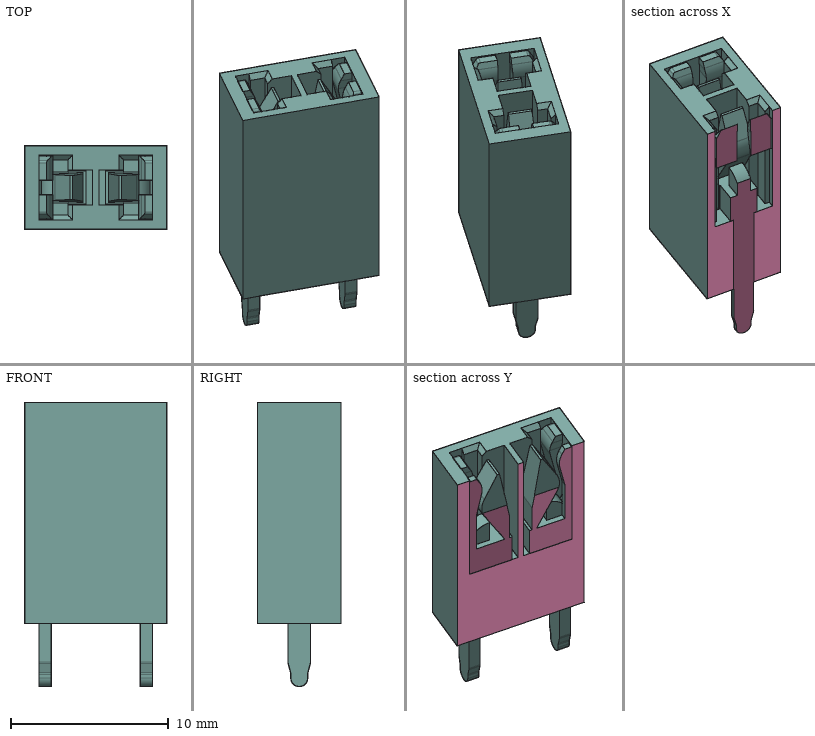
import cadquery as cq
import math


TOTAL_HEIGHT = 18.0
TAIL_LENGTH = 4.0
HOUSING_X = 9.0
HOUSING_Y = 5.3
HOUSING_Z = TOTAL_HEIGHT - TAIL_LENGTH

POLE_ANGLES = (0, 180)

CAVITY_OUTER_X = 3.6
CHAMBER_INNER_X = 2.72
MOUTH_INNER_X = 1.45
MOUTH_HALF_Y = 2.05
MOUTH_BEVEL = 0.3
SLOT_INNER_X = 0.2
SLOT_HALF_Y = 1.1
CAVITY_DEPTH = 8.1
FLOOR_Z = HOUSING_Z - CAVITY_DEPTH

BULGE_RADIUS = 3.0 / 2
LEAD_ANGLE = 29.0
LEAD_RUN = math.tan(math.radians(LEAD_ANGLE))
BULGE_RISE = BULGE_RADIUS * math.sin(math.radians(LEAD_ANGLE))
BULGE_DEPTH = BULGE_RADIUS * (1 - math.cos(math.radians(LEAD_ANGLE)))

BASE_HEIGHT = 1.98
BASE_TOP_Z = FLOOR_Z + BASE_HEIGHT
BASE_INNER_X = 0.61
BASE_STEP_X = MOUTH_INNER_X + MOUTH_BEVEL
BASE_INNER_HALF_Y = 1.05
BASE_OUTER_HALF_Y = 0.97

LEG_TOP_Z = HOUSING_Z - 0.09
LEG_INNER_X = 3.11
LEG_CONTACT_X = CHAMBER_INNER_X
LEG_RELIEF_ANGLE = 12.0
LEG_OUTER_Y = 1.98
LEG_SHOULDER_Y = 1.65
LEG_SHOULDER_RADIUS = 0.2
LEG_GAP_TIP_HALF_Y = 0.45
LEG_GAP_ROOT_HALF_Y = 0.49
LEG_GAP_FLARE_DROP = 0.49
LEG_GAP_FLARE_HEIGHT = 0.61

ARM_TIP_Z = HOUSING_Z - 0.41
ARM_TIP_OUTER_X = 1.62
ARM_TIP_INNER_X = 1.45
ARM_FOOT_INNER_X = 0.8
ARM_CONTACT_X = 2.75
ARM_SLOPE_HEIGHT = 3.78
ARM_TIP_HALF_Y = 0.75
ARM_FOOT_HALF_Y = 0.94

ROOT_RADIUS = BULGE_RADIUS
ROOT_CENTER_X = 2.02
ROOT_VALLEY_X = 3.44
ROOT_HALF_Y = LEG_GAP_ROOT_HALF_Y

TAIL_THICKNESS = 0.8
TAIL_HALF_Y = 0.72
TAIL_TIP_HALF_Y = 0.54
TAIL_TAPER_START = 2.48
TAIL_TAPER_LENGTH = 0.67
TAIL_BLEND_RADIUS = 0.45


def box(x_min, x_max, half_y, z_min, z_max):
    """Block that is symmetric about the XZ plane."""
    size = (x_max - x_min, 2 * half_y, z_max - z_min)
    return cq.Workplane("XY").box(*size, centered=(False, True, False)).translate((x_min, 0, z_min))


def along_y(profile, half_y):
    """Extrude an XZ profile equally to both sides of the XZ plane."""
    return profile.extrude(half_y, both=True)


def blade_pocket():
    """Pocket for the blade, with a bevelled mouth on three sides."""
    inner_x = MOUTH_INNER_X + MOUTH_BEVEL
    half_y = MOUTH_HALF_Y - MOUTH_BEVEL
    pocket = box(inner_x, CHAMBER_INNER_X, half_y, FLOOR_Z, HOUSING_Z)
    bevel_angle = 45
    mouth_width = 2 * (CAVITY_OUTER_X - MOUTH_INNER_X)
    mouth = (
        cq.Workplane("XY", origin=(CAVITY_OUTER_X, 0, HOUSING_Z))
        .rect(mouth_width, 2 * MOUTH_HALF_Y)
        .extrude(-MOUTH_BEVEL, taper=bevel_angle)
    )
    keep = box(MOUTH_INNER_X, CHAMBER_INNER_X, MOUTH_HALF_Y, FLOOR_Z, HOUSING_Z)
    return pocket.union(mouth.intersect(keep))


def tail_hole():
    return box(CAVITY_OUTER_X - TAIL_THICKNESS, CAVITY_OUTER_X, TAIL_HALF_Y, 0, FLOOR_Z)


def cavity():
    leg_chamber = box(CHAMBER_INNER_X, CAVITY_OUTER_X, MOUTH_HALF_Y, FLOOR_Z, HOUSING_Z)
    arm_slot = box(SLOT_INNER_X, CHAMBER_INNER_X, SLOT_HALF_Y, FLOOR_Z, HOUSING_Z)
    return leg_chamber.union(arm_slot).union(blade_pocket()).union(tail_hole())


def make_housing():
    body = cq.Workplane("XY").box(HOUSING_X, HOUSING_Y, HOUSING_Z, centered=(True, True, False))
    for angle in POLE_ANGLES:
        body = body.cut(cavity().rotate((0, 0, 0), (0, 0, 1), angle))
    return body


def base():
    """Block on the cavity floor that joins the legs, the arm and the tail."""
    outer_part = box(BASE_STEP_X, CAVITY_OUTER_X, BASE_OUTER_HALF_Y, FLOOR_Z, BASE_TOP_Z)
    inner_part = box(BASE_INNER_X, BASE_STEP_X, BASE_INNER_HALF_Y, FLOOR_Z, BASE_TOP_Z)
    return outer_part.union(inner_part)


def leg_front():
    """Both legs side on: a sloped tip, a contact bulge and a relief that runs back to the root."""
    lead_end_x = LEG_CONTACT_X + BULGE_DEPTH
    lead_end_z = LEG_TOP_Z - (LEG_INNER_X - lead_end_x) / LEAD_RUN
    bulge_z = lead_end_z - BULGE_RISE
    relief = math.radians(LEG_RELIEF_ANGLE)
    relief_x = LEG_CONTACT_X + BULGE_RADIUS * (1 - math.cos(relief))
    relief_z = bulge_z - BULGE_RADIUS * math.sin(relief)
    relief_end_z = relief_z - (LEG_INNER_X - relief_x) / math.tan(relief)
    profile = (
        cq.Workplane("XZ")
        .moveTo(CAVITY_OUTER_X, FLOOR_Z)
        .lineTo(CAVITY_OUTER_X, LEG_TOP_Z)
        .lineTo(LEG_INNER_X, LEG_TOP_Z)
        .lineTo(lead_end_x, lead_end_z)
        .threePointArc((LEG_CONTACT_X, bulge_z), (relief_x, relief_z))
        .lineTo(LEG_INNER_X, relief_end_z)
        .lineTo(LEG_INNER_X, FLOOR_Z)
        .close()
    )
    return along_y(profile, LEG_OUTER_Y)


def leg_outline():
    """Leg plate face on: sloped ends with rounded shoulders."""
    shoulder_drop = (LEG_OUTER_Y - LEG_SHOULDER_Y) / LEAD_RUN
    outline = (
        cq.Workplane("YZ")
        .moveTo(-LEG_OUTER_Y, FLOOR_Z)
        .lineTo(-LEG_OUTER_Y, LEG_TOP_Z - shoulder_drop)
        .lineTo(-LEG_SHOULDER_Y, LEG_TOP_Z)
        .lineTo(LEG_SHOULDER_Y, LEG_TOP_Z)
        .lineTo(LEG_OUTER_Y, LEG_TOP_Z - shoulder_drop)
        .lineTo(LEG_OUTER_Y, FLOOR_Z)
        .close()
        .extrude(CAVITY_OUTER_X)
    )
    return outline.faces(">Z").edges("|X").fillet(LEG_SHOULDER_RADIUS)


def leg_gap():
    """Gap between the two legs, a little wider at the root than at the tip."""
    flare_top = LEG_TOP_Z - LEG_GAP_FLARE_DROP
    flare_bottom = flare_top - LEG_GAP_FLARE_HEIGHT
    half = [
        (LEG_GAP_TIP_HALF_Y, LEG_TOP_Z),
        (LEG_GAP_TIP_HALF_Y, flare_top),
        (LEG_GAP_ROOT_HALF_Y, flare_bottom),
        (LEG_GAP_ROOT_HALF_Y, BASE_TOP_Z),
    ]
    mirrored = [(-y, z) for y, z in reversed(half)]
    return (
        cq.Workplane("YZ")
        .polyline(half + mirrored)
        .close()
        .extrude(CAVITY_OUTER_X)
    )


def legs():
    return leg_front().intersect(leg_outline()).cut(leg_gap())


def arm_side():
    """Arm side on: a sloped tip and a bulge facing the legs, leaning in to its foot."""
    lead_end_x = ARM_CONTACT_X - BULGE_DEPTH
    lead_end_z = ARM_TIP_Z - (lead_end_x - ARM_TIP_OUTER_X) / LEAD_RUN
    bulge_z = lead_end_z - BULGE_RISE
    bulge_end_z = bulge_z - BULGE_RISE
    foot_outer_x = lead_end_x - (bulge_end_z - BASE_TOP_Z) * LEAD_RUN
    profile = (
        cq.Workplane("XZ")
        .moveTo(ARM_FOOT_INNER_X, BASE_TOP_Z)
        .lineTo(ARM_FOOT_INNER_X, ARM_TIP_Z - ARM_SLOPE_HEIGHT)
        .lineTo(ARM_TIP_INNER_X, ARM_TIP_Z)
        .lineTo(ARM_TIP_OUTER_X, ARM_TIP_Z)
        .lineTo(lead_end_x, lead_end_z)
        .threePointArc((ARM_CONTACT_X, bulge_z), (lead_end_x, bulge_end_z))
        .lineTo(foot_outer_x, BASE_TOP_Z)
        .close()
    )
    return along_y(profile, ARM_FOOT_HALF_Y)


def arm():
    """The arm narrows evenly from its foot to its tip."""
    outline = (
        cq.Workplane("YZ")
        .polyline([
            (-ARM_FOOT_HALF_Y, BASE_TOP_Z),
            (-ARM_TIP_HALF_Y, ARM_TIP_Z),
            (ARM_TIP_HALF_Y, ARM_TIP_Z),
            (ARM_FOOT_HALF_Y, BASE_TOP_Z),
        ])
        .close()
        .extrude(CAVITY_OUTER_X)
    )
    return arm_side().intersect(outline)


def root():
    """Convex rise between the legs towards the arm, with a short slope along the outer wall."""
    valley_angle = math.acos((ROOT_VALLEY_X - ROOT_CENTER_X) / ROOT_RADIUS)
    valley_z = BASE_TOP_Z + ROOT_RADIUS * math.sin(valley_angle)
    middle_angle = (valley_angle + math.pi / 2) / 2
    middle_x = ROOT_CENTER_X + ROOT_RADIUS * math.cos(middle_angle)
    middle_z = BASE_TOP_Z + ROOT_RADIUS * math.sin(middle_angle)
    wall_z = valley_z + (CAVITY_OUTER_X - ROOT_VALLEY_X) / LEAD_RUN
    profile = (
        cq.Workplane("XZ")
        .moveTo(ROOT_CENTER_X, BASE_TOP_Z)
        .lineTo(CAVITY_OUTER_X, BASE_TOP_Z)
        .lineTo(CAVITY_OUTER_X, wall_z)
        .lineTo(ROOT_VALLEY_X, valley_z)
        .threePointArc((middle_x, middle_z), (ROOT_CENTER_X, BASE_TOP_Z + ROOT_RADIUS))
        .close()
    )
    return along_y(profile, ROOT_HALF_Y)


def tail():
    """Solder tail: a flat bar that tapers to a narrower end with a round tip."""
    taper_start_z = -TAIL_TAPER_START
    taper_end_z = taper_start_z - TAIL_TAPER_LENGTH
    tip_z = -TAIL_LENGTH + TAIL_TIP_HALF_Y
    blank = (
        cq.Workplane("YZ", origin=(CAVITY_OUTER_X - TAIL_THICKNESS, 0, 0))
        .moveTo(-TAIL_HALF_Y, FLOOR_Z)
        .lineTo(-TAIL_HALF_Y, taper_start_z)
        .lineTo(-TAIL_TIP_HALF_Y, taper_end_z)
        .lineTo(-TAIL_TIP_HALF_Y, tip_z)
        .threePointArc((0, -TAIL_LENGTH), (TAIL_TIP_HALF_Y, tip_z))
        .lineTo(TAIL_TIP_HALF_Y, taper_end_z)
        .lineTo(TAIL_HALF_Y, taper_start_z)
        .lineTo(TAIL_HALF_Y, FLOOR_Z)
        .close()
        .extrude(TAIL_THICKNESS)
    )
    margin = 0.02
    taper_zone = cq.selectors.BoxSelector(
        (0, -HOUSING_Y, taper_end_z - margin), (HOUSING_X, HOUSING_Y, taper_start_z + margin)
    )
    return blank.edges("|X").edges(taper_zone).fillet(TAIL_BLEND_RADIUS)


def make_terminal(angle):
    terminal = base().union(legs()).union(arm()).union(root()).union(tail())
    return terminal.rotate((0, 0, 0), (0, 0, 1), angle)


housing = make_housing()
terminals = [make_terminal(angle) for angle in POLE_ANGLES]

result = cq.Compound.makeCompound([housing.val(), *[terminal.val() for terminal in terminals]])